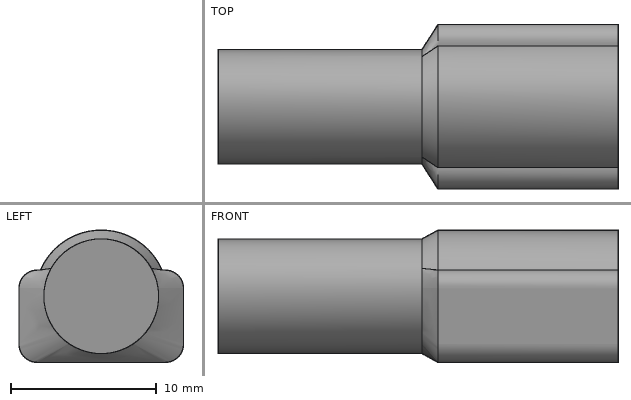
import cadquery as cq
import math

total_length = 27.43
pin_length = 13.97
transition_length = 1.1
pin_radius = 3.935
crown_radius = 4.545
head_width = 11.3
shoulder_height = 1.80
base_depth = 4.545
corner_radius = 1.27

crown_angle = 29.0
shoulder_angle = 26.8
upper_side_angle = 7.9
lower_side_angle = -39.9
base_angle = -56.0

head_start = pin_length + transition_length
head_length = total_length - head_start
half_width = head_width / 2
corner_center_y = half_width - corner_radius
upper_corner_z = shoulder_height - corner_radius
lower_corner_z = corner_radius - base_depth
crown_half_width = math.sqrt(crown_radius**2 - shoulder_height**2)
corner_mid_offset = corner_radius * math.sqrt(0.5)


def rim_point(angle):
    """Point (y, z) on the pin rim at an angle in degrees above the +Y side."""
    return (
        pin_radius * math.cos(math.radians(angle)),
        pin_radius * math.sin(math.radians(angle)),
    )


def mirrored(point):
    """Point (y, z) mirrored to the other side of the part."""
    return (-point[0], point[1])


def add_head_outline(plane):
    """Draw the head section: round crown over a block with rounded corners."""
    crown_end = (crown_half_width, shoulder_height)
    shoulder_end = (corner_center_y, shoulder_height)
    upper_mid = (corner_center_y + corner_mid_offset, upper_corner_z + corner_mid_offset)
    upper_side = (half_width, upper_corner_z)
    lower_side = (half_width, lower_corner_z)
    lower_mid = (corner_center_y + corner_mid_offset, lower_corner_z - corner_mid_offset)
    base_end = (corner_center_y, -base_depth)
    return (
        plane.moveTo(*mirrored(crown_end))
        .threePointArc((0, crown_radius), crown_end)
        .lineTo(*shoulder_end)
        .threePointArc(upper_mid, upper_side)
        .lineTo(*lower_side)
        .threePointArc(lower_mid, base_end)
        .lineTo(*mirrored(base_end))
        .threePointArc(mirrored(lower_mid), mirrored(lower_side))
        .lineTo(*mirrored(upper_side))
        .threePointArc(mirrored(upper_mid), mirrored(shoulder_end))
        .close()
    )


def add_split_rim(plane):
    """Draw the pin rim as arcs that pair one to one with the head outline edges."""
    right_angles = [crown_angle, shoulder_angle, upper_side_angle, lower_side_angle, base_angle]
    left_angles = [-180 - angle for angle in reversed(right_angles)]
    start_angle = 180 - crown_angle
    rim = plane.moveTo(*rim_point(start_angle))
    rim = rim.threePointArc((0, pin_radius), rim_point(crown_angle))
    angles = right_angles + left_angles
    for first, last in zip(angles, angles[1:]):
        rim = rim.threePointArc(rim_point((first + last) / 2), rim_point(last))
    return rim.close()


def make_pin():
    return cq.Workplane("YZ").circle(pin_radius).extrude(pin_length)


def make_transition():
    rim = add_split_rim(cq.Workplane("YZ", origin=(pin_length, 0, 0)))
    section = add_head_outline(rim.workplane(offset=transition_length))
    return section.loft(ruled=True, combine=True)


def make_head():
    return add_head_outline(cq.Workplane("YZ", origin=(head_start, 0, 0))).extrude(head_length)


result = make_pin().union(make_transition()).union(make_head())